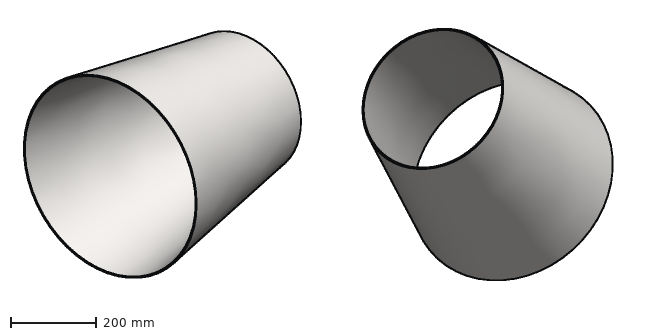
import cadquery as cq

large_diameter = 508.0
small_diameter = 355.6
wall_thickness = 4.0
length = 508.0

large_radius = large_diameter / 2
small_radius = small_diameter / 2


def reducer_shell():
    """Revolve the wall section, cut square at both ends, about the Y axis."""
    wall_section = [
        (large_radius - wall_thickness, 0),
        (large_radius, 0),
        (small_radius, length),
        (small_radius - wall_thickness, length),
    ]
    return (
        cq.Workplane("XY")
        .polyline(wall_section)
        .close()
        .revolve(360, (0, 0, 0), (0, 1, 0))
    )


result = reducer_shell()